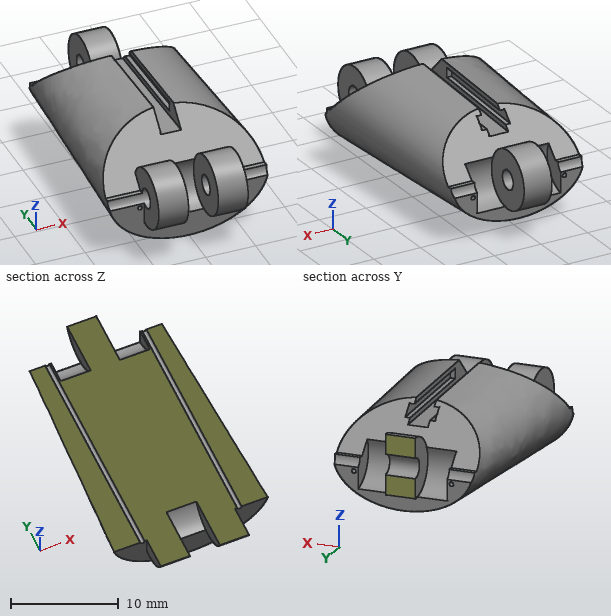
import cadquery as cq

overall_length = 29.0
knuckle_radius = 3.0
knuckle_width = 3.0
pin_radius = 1.0
pin_y = overall_length / 2 - knuckle_radius

pin_to_body_end = 0.52
body_half_length = pin_y - pin_to_body_end
front_half_width = 8.0
front_half_height = 5.5
taper = 1.02
body_length = 2 * body_half_length
taper_slope = taper / body_length
ledge = 0.95
slope_foot_y = body_half_length - ledge

slot_width = 2.0
slot_depth = 2.0
undercut_width = 3.0
undercut_height = 1.0
undercut_lift = 0.5
undercut_front_y = -3.9

wire_hole_radius = 0.2
wire_hole_x = 4.9
wire_hole_z = -1.25


def x_cylinder(radius, y, width, center_x=0):
    """Cylinder along X, centred on center_x, at the hinge height."""
    return cq.Workplane("YZ", origin=(center_x - width / 2, y, 0)).circle(radius).extrude(width)


def x_prism(points, width):
    """Outline of (Y, Z) points extruded symmetrically about X = 0."""
    return cq.Workplane("YZ").polyline(points).close().extrude(width / 2, both=True)


def make_body():
    loft = (
        cq.Workplane("XZ", origin=(0, -body_half_length, 0))
        .ellipse(front_half_width, front_half_height)
        .workplane(offset=-body_length)
        .ellipse(front_half_width - taper, front_half_height - taper)
        .loft(ruled=True)
    )
    clear_width = 2 * overall_length
    for end in (-1, 1):
        wedge = x_prism(
            [
                (end * slope_foot_y, 0),
                (end * overall_length, 0),
                (end * overall_length, slope_foot_y),
                (0, slope_foot_y),
            ],
            clear_width,
        )
        loft = loft.cut(wedge)
    return loft


def slot_floor_z(y):
    return front_half_height - slot_depth - taper_slope * (y + body_half_length)


def make_slot_cutter(width, lift, height, front_y):
    """Channel parallel to the crest, from front_y out through the back."""
    back_y = body_half_length
    front_z = slot_floor_z(front_y) + lift
    back_z = slot_floor_z(back_y) + lift
    return x_prism(
        [
            (front_y, front_z),
            (back_y, back_z),
            (back_y, back_z + height),
            (front_y, front_z + height),
        ],
        width,
    )


def hinge_end(body, y, knuckle_xs, gap_xs):
    """Clear the gaps for the mating knuckles, add this end's own, then bore the pin hole."""
    for x in gap_xs:
        body = body.cut(x_cylinder(knuckle_radius, y, knuckle_width, x))
    for x in knuckle_xs:
        body = body.union(x_cylinder(knuckle_radius, y, knuckle_width, x))
    return body.cut(x_cylinder(pin_radius, y, 2 * front_half_width))


result = make_body()

result = result.cut(make_slot_cutter(slot_width, 0, 2 * slot_depth, -body_half_length))
result = result.cut(make_slot_cutter(undercut_width, undercut_lift, undercut_height, undercut_front_y))

middle = [0]
sides = [-knuckle_width, knuckle_width]
result = hinge_end(result, -pin_y, knuckle_xs=sides, gap_xs=middle)
result = hinge_end(result, pin_y, knuckle_xs=middle, gap_xs=sides)

wire_holes = (
    cq.Workplane("XZ")
    .pushPoints([(-wire_hole_x, wire_hole_z), (wire_hole_x, wire_hole_z)])
    .circle(wire_hole_radius)
    .extrude(body_length, both=True)
)
result = result.cut(wire_holes)